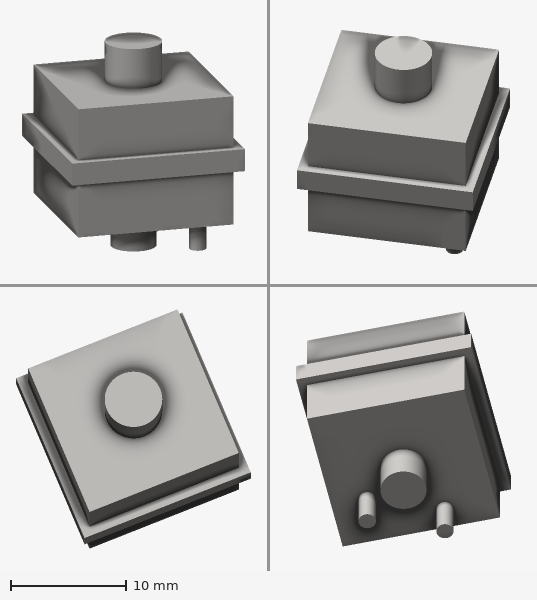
import cadquery as cq

total_height = 18.5
pin_length = 3.3
lower_body_height = 5.0
flange_height = 2.0
upper_body_height = 4.62

flange_width = 15.6
body_width = 14.0

stem_diameter = 5.0
post_diameter = 4.0
pin_diameter = 1.5

far_pin_offset = 5.07
pin_grid = far_pin_offset / 4
pin_positions = [(-3 * pin_grid, 2 * pin_grid), (2 * pin_grid, far_pin_offset)]

body_bottom = pin_length
flange_bottom = body_bottom + lower_body_height
body_top = flange_bottom + flange_height + upper_body_height
stem_height = total_height - body_top


def square_block(width, bottom, height):
    """Square block centred on the Z axis."""
    return cq.Workplane("XY").workplane(offset=bottom).rect(width, width).extrude(height)


def cylinder(diameter, bottom, height, centre=(0, 0)):
    """Upright cylinder standing at the given centre."""
    base = cq.Workplane("XY").workplane(offset=bottom).center(*centre)
    return base.circle(diameter / 2).extrude(height)


result = square_block(body_width, body_bottom, body_top - body_bottom)
result = result.union(square_block(flange_width, flange_bottom, flange_height))

result = result.union(cylinder(stem_diameter, body_top, stem_height))
result = result.union(cylinder(post_diameter, 0, pin_length))

for position in pin_positions:
    result = result.union(cylinder(pin_diameter, 0, pin_length, position))